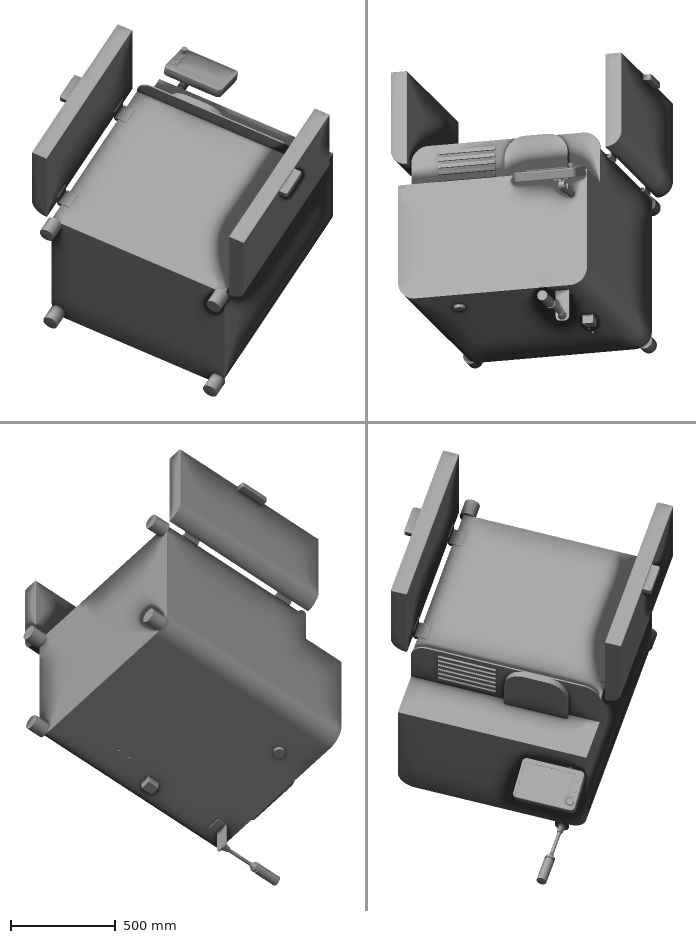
import cadquery as cq
import math

HOUSING_WIDTH = 941.0
HOUSING_HEIGHT = 743.0
UPPER_DEPTH = 875.0
LOWER_DEPTH = 1096.0
STEP_HEIGHT = 572.0
CORNER_RADIUS = 84.0
EDGE_RADIUS = 3.0

BOARD_THICKNESS = 7.0
BOARD_TOP = 827.0
BOARD_RADIUS = 83.0

FOOT_RADIUS = 38.0
FOOT_LENGTH = 81.0
UPPER_FOOT_X = 452.0
UPPER_FOOT_Z = 722.0

DOOR_INNER_X = 494.0
DOOR_OUTER_X = 575.0
DOOR_BOTTOM = 748.0
DOOR_TOP = 1213.0
DOOR_Y = (-3.0, 867.0)
DOOR_RADIUS = 77.0
HANDLE_OUTER_X = 617.0

HALF_WIDTH = HOUSING_WIDTH / 2


def box(x_range, y_range, z_range):
    """Box between two limits along each axis."""
    sizes = [high - low for low, high in (x_range, y_range, z_range)]
    corner = (x_range[0], y_range[0], z_range[0])
    return cq.Workplane("XY").box(*sizes, centered=False).translate(corner)


def rod(x, z, radius, y_range):
    """Round bar along Y."""
    start = cq.Vector(x, y_range[0], z)
    return cq.Workplane(cq.Solid.makeCylinder(radius, y_range[1] - y_range[0], start, cq.Vector(0, 1, 0)))


def taper(x, z, radii, y_range):
    """Cone along Y between two radii."""
    start = cq.Vector(x, y_range[0], z)
    length = y_range[1] - y_range[0]
    return cq.Workplane(cq.Solid.makeCone(*radii, length, start, cq.Vector(0, 1, 0)))


def post(x, y, radius, z_range):
    """Round bar along Z."""
    return cq.Workplane("XY", origin=(x, y, z_range[0])).circle(radius).extrude(z_range[1] - z_range[0])


def housing_shell():
    """Stepped box with rounded lower long edges and softened front and top edges."""
    shell = (
        cq.Workplane("YZ", origin=(-HALF_WIDTH, 0, 0))
        .polyline([
            (0, 0),
            (LOWER_DEPTH, 0),
            (LOWER_DEPTH, STEP_HEIGHT),
            (UPPER_DEPTH, STEP_HEIGHT),
            (UPPER_DEPTH, HOUSING_HEIGHT),
            (0, HOUSING_HEIGHT),
        ])
        .close()
        .extrude(HOUSING_WIDTH)
    )
    shell = shell.faces("<Z").edges("|Y").fillet(CORNER_RADIUS)
    return shell.edges("<Y or (|Y and >Z)").fillet(EDGE_RADIUS)


def rear_board():
    """Thin upright board with round upper corners behind the table top."""
    board = box(
        (-HALF_WIDTH, HALF_WIDTH),
        (UPPER_DEPTH - BOARD_THICKNESS, UPPER_DEPTH),
        (HOUSING_HEIGHT, BOARD_TOP),
    )
    return board.faces(">Z").edges("|Y").fillet(BOARD_RADIUS)


COVER_X = (-317.0, -3.0)
COVER_THICKNESS = 29.0
COVER_RADIUS = 101.0
VENT_X = (48.0, 335.0)
VENT_Z = (608.0, 810.0)
VENT_DEPTH = 10.0
VENT_SLATS = 6


def rear_cover():
    """Round-cornered cover on the back of the upper part, standing on the step."""
    cover = box(COVER_X, (UPPER_DEPTH, UPPER_DEPTH + COVER_THICKNESS), (STEP_HEIGHT, BOARD_TOP))
    return cover.faces(">Z").edges("|Y").fillet(COVER_RADIUS)


def rear_vent():
    """Row of thin slats on the back of the upper part."""
    pitch = (VENT_Z[1] - VENT_Z[0]) / VENT_SLATS
    slats = cq.Workplane("XY")
    for index in range(VENT_SLATS):
        low = VENT_Z[0] + index * pitch
        slats = slats.add(box(VENT_X, (UPPER_DEPTH, UPPER_DEPTH + VENT_DEPTH), (low, low + pitch / 2)))
    return slats


def feet():
    """Four round feet on the front face."""
    lower_x = HALF_WIDTH - FOOT_RADIUS
    places = cq.Workplane("XY")
    for side in (-1, 1):
        for x, z in ((lower_x, FOOT_RADIUS), (UPPER_FOOT_X, UPPER_FOOT_Z)):
            places = places.add(rod(side * x, z, FOOT_RADIUS, (-FOOT_LENGTH, EDGE_RADIUS)))
    return places


BLOCK_X = (-356.0, -304.0)
BLOCK_Y = (545.0, 608.0)
BLOCK_HEIGHT = 42.0
BOSS_PLACE = (215.0, 922.0)
BOSS_RADIUS = 28.0
BOSS_HEIGHT = 16.0
STUD_X = -275.0
STUD_RADIUS = 5.0
STUD_HEIGHT = 7.0
STUD_Y = (335.0, 401.0)


def underside_fittings():
    """Block, round boss and two small studs under the housing."""
    fittings = box(BLOCK_X, BLOCK_Y, (-BLOCK_HEIGHT, 0))
    fittings = fittings.add(post(*BOSS_PLACE, BOSS_RADIUS, (-BOSS_HEIGHT, 0)))
    for y in STUD_Y:
        fittings = fittings.add(post(STUD_X, y, STUD_RADIUS, (-STUD_HEIGHT, 0)))
    return fittings


LEVER_X = -327.0
LEVER_Z = -126.0
LEVER_BOTTOM = -152.0
LEVER_PLATE_WIDTH = 67.0
LEVER_PLATE_Y = (1020.0, 1026.0)
LEVER_PLATE_RADIUS = 23.0
LEVER_FLANGE_Y = 970.0
LEVER_FLANGE_THICKNESS = 6.0
HEAD_RADIUS = 25.0
HEAD_HEIGHT = 3.0
HUB_RADII = (22.0, 12.0)
HUB_END = 1065.0
ROD_RADIUS = 9.0
ROD_END = 1200.0
NECK_END = 1222.0
NECK_RADIUS = 19.0
COLLAR_END = 1233.0
GRIP_START = 1240.0
GRIP_END = 1366.0
GRIP_RADIUS = 25.0


def lever():
    """Hanging angle bracket that carries a rod with a round grip."""
    plate_x = (LEVER_X - LEVER_PLATE_WIDTH / 2, LEVER_X + LEVER_PLATE_WIDTH / 2)
    plate = box(plate_x, LEVER_PLATE_Y, (LEVER_BOTTOM, 0))
    plate = plate.faces("<Z").edges("|Y").fillet(LEVER_PLATE_RADIUS)
    flange = box(plate_x, (LEVER_FLANGE_Y, LEVER_PLATE_Y[1]), (-LEVER_FLANGE_THICKNESS, 0))
    axis = (LEVER_X, LEVER_Z)
    return (
        plate.union(flange)
        .union(rod(*axis, HEAD_RADIUS, (LEVER_PLATE_Y[0] - HEAD_HEIGHT, LEVER_PLATE_Y[0])))
        .union(taper(*axis, HUB_RADII, (LEVER_PLATE_Y[1], HUB_END)))
        .union(rod(*axis, ROD_RADIUS, (LEVER_PLATE_Y[1], GRIP_END)))
        .union(taper(*axis, (ROD_RADIUS, NECK_RADIUS), (ROD_END, NECK_END)))
        .union(rod(*axis, GRIP_RADIUS, (NECK_END, COLLAR_END)))
        .union(rod(*axis, NECK_RADIUS, (COLLAR_END, GRIP_START)))
        .union(rod(*axis, GRIP_RADIUS, (GRIP_START, GRIP_END)))
    )


def make_housing():
    body = housing_shell().union(rear_board()).union(rear_cover()).union(lever())
    for group in (feet(), rear_vent(), underside_fittings()):
        for piece in group.vals():
            body = body.union(cq.Workplane(piece))
    return body


HANDLE_Y = (355.0, 508.0)
HANDLE_Z = (1178.0, 1207.0)
HANDLE_RADIUS = 10.0

HINGE_Y = (677.0, 101.0)
HINGE_WIDTH = 85.0
TABLE_LEAF_THICKNESS = 3.0
TABLE_LEAF_X = 427.0
DOOR_LEAF_THICKNESS = 5.0
DOOR_LEAF_TOP = 787.0
KNUCKLE_RADIUS = 10.0
KNUCKLE_COUNT = 5
KNUCKLE_GAP = 3.0
PIN_RADIUS = 7.0


def door_panel():
    """Upright panel with a round lower outer edge, on the +X side."""
    panel = box((DOOR_INNER_X, DOOR_OUTER_X), DOOR_Y, (DOOR_BOTTOM, DOOR_TOP))
    panel = panel.edges("|Y and >X and <Z").fillet(DOOR_RADIUS)
    return panel.faces("<Y or >Y or >Z").edges().fillet(EDGE_RADIUS)


def door_handle():
    """Bar handle with round outer ends."""
    handle = box((DOOR_OUTER_X, HANDLE_OUTER_X), HANDLE_Y, HANDLE_Z)
    handle = handle.edges("|Z and >X").fillet(HANDLE_RADIUS)
    return handle.faces("<Z or >Z").edges(">X").fillet(EDGE_RADIUS)


def hinge(start):
    """Row of knuckles beside the housing, with one leaf on the table top and one on the door."""
    y_range = (start, start + HINGE_WIDTH)
    knuckle_x = HALF_WIDTH + KNUCKLE_RADIUS
    leaf_top = HOUSING_HEIGHT + TABLE_LEAF_THICKNESS
    knuckle_z = leaf_top - KNUCKLE_RADIUS
    body = rod(knuckle_x, knuckle_z, PIN_RADIUS, y_range)
    pitch = (HINGE_WIDTH + KNUCKLE_GAP) / KNUCKLE_COUNT
    for index in range(KNUCKLE_COUNT):
        low = start + index * pitch
        body = body.union(rod(knuckle_x, knuckle_z, KNUCKLE_RADIUS, (low, low + pitch - KNUCKLE_GAP)))
    table_leaf = box((TABLE_LEAF_X, knuckle_x), y_range, (HOUSING_HEIGHT, leaf_top))
    door_leaf = box((DOOR_INNER_X - DOOR_LEAF_THICKNESS, DOOR_INNER_X), y_range, (knuckle_z, DOOR_LEAF_TOP))
    return body.union(table_leaf).union(door_leaf)


def make_door(side):
    """Door with its handle and hinges; side is +1 or -1 along X."""
    door = door_panel().union(door_handle())
    for start in HINGE_Y:
        door = door.union(hinge(start))
    if side < 0:
        door = door.mirror("YZ")
    return door


DISPLAY_CENTER = (-335.0, 1262.0, 511.0)
DISPLAY_TILT = math.radians(20)
DISPLAY_SIZE = (310.0, 204.0, 46.0)
DISPLAY_RADIUS = 22.0
DISPLAY_EDGE_RADIUS = 5.0
SCREEN_SIZE = (252.0, 172.0)
SCREEN_OFFSET = (15.0, 6.0)
SCREEN_RADIUS = 9.0
SCREEN_RECESS = 3.0
BUTTON_X = -129.0
BUTTON_SIZE = 19.0
BUTTON_HEIGHT = 3.0
BUTTON_Y = (-49.0, 3.0)
KNOB_Y = 65.0
KNOB_STEM = (12.0, 12.0)
KNOB_HEAD = (16.0, 12.0)

ARM_X = -394.0
ARM_Z = 453.0
ARM_RADIUS = 16.0
SLEEVE_Y = (1177.0, 1226.0)
SLEEVE_RADIUS = 22.0
PIVOT_Y = 1249.0
PIVOT_RADIUS = 22.0
PIVOT_HOLE_RADIUS = 6.0
LUG_WIDTH = 29.0
PAD_SIZE = 70.0
PAD_THICKNESS = 9.0


def display_plane(height):
    """Work plane tilted with the display, raised from its middle along its face normal."""
    normal = cq.Vector(0, math.sin(DISPLAY_TILT), math.cos(DISPLAY_TILT))
    origin = cq.Vector(*DISPLAY_CENTER) + normal * height
    return cq.Workplane(cq.Plane(origin, xDir=(1, 0, 0), normal=normal))


def display_case():
    """Tilted case with a recessed screen, two buttons and a mushroom knob."""
    face = DISPLAY_SIZE[2] / 2
    case = display_plane(0).box(*DISPLAY_SIZE)
    upright = cq.selectors.ParallelDirSelector(display_plane(0).plane.zDir)
    case = case.edges(upright).fillet(DISPLAY_RADIUS)
    case = case.faces(upright).edges().fillet(DISPLAY_EDGE_RADIUS)
    recess = display_plane(face).center(*SCREEN_OFFSET).rect(*SCREEN_SIZE).extrude(-SCREEN_RECESS)
    case = case.cut(recess.edges(upright).fillet(SCREEN_RADIUS))
    for y in BUTTON_Y:
        button = display_plane(face).center(BUTTON_X, y).rect(BUTTON_SIZE, BUTTON_SIZE)
        case = case.union(button.extrude(BUTTON_HEIGHT))
    knob_start = face
    for radius, height in (KNOB_STEM, KNOB_HEAD):
        case = case.union(display_plane(knob_start).center(BUTTON_X, KNOB_Y).circle(radius).extrude(height))
        knob_start += height
    return case


def display_arm():
    """Round arm from the rear wall to a pivot lug under the case."""
    arm = rod(ARM_X, ARM_Z, ARM_RADIUS, (LOWER_DEPTH, SLEEVE_Y[1]))
    sleeve = rod(ARM_X, ARM_Z, SLEEVE_RADIUS, SLEEVE_Y)
    lug_x = (ARM_X - LUG_WIDTH / 2, ARM_X + LUG_WIDTH / 2)
    pivot = cq.Workplane("YZ", origin=(lug_x[0], PIVOT_Y, ARM_Z))
    lug = pivot.circle(PIVOT_RADIUS).extrude(LUG_WIDTH)
    tongue = box(lug_x, (SLEEVE_Y[1], PIVOT_Y), (ARM_Z - PIVOT_RADIUS, ARM_Z))
    neck = box(
        lug_x,
        (PIVOT_Y - PIVOT_RADIUS, PIVOT_Y + PIVOT_RADIUS / 2),
        (ARM_Z, DISPLAY_CENTER[2] - DISPLAY_SIZE[2] / 2),
    )
    hole = pivot.circle(PIVOT_HOLE_RADIUS).extrude(LUG_WIDTH)
    pad = display_plane(-DISPLAY_SIZE[2] / 2).center(ARM_X - DISPLAY_CENTER[0], 0)
    pad = pad.rect(PAD_SIZE, PAD_SIZE).extrude(-PAD_THICKNESS)
    return arm.union(sleeve).union(lug).union(tongue).union(neck).union(pad).cut(hole)


def make_display():
    return display_case().union(display_arm())


housing = make_housing()
doors = [make_door(side) for side in (-1, 1)]
display = make_display()

result = cq.Compound.makeCompound([housing.val(), *[door.val() for door in doors], display.val()])